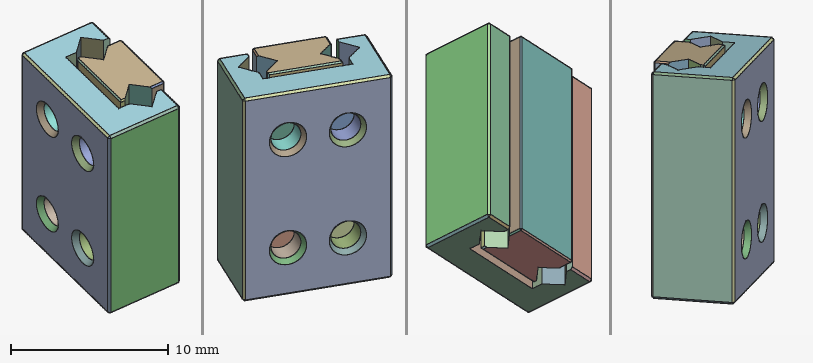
import cadquery as cq
import math

LENGTH = 15.0
RAIL_WIDTH = 10.0
RAIL_HEIGHT = 5.5
RAIL_CHAMFER = 0.15
CHANNEL_WIDTH = 6.0
CHANNEL_FLOOR = 2.1

OVERALL_HEIGHT = 6.0
CARRIAGE_WIDTH = 5.0
CARRIAGE_GAP = 0.5
CARRIAGE_BOTTOM = CHANNEL_FLOOR + CARRIAGE_GAP
CARRIAGE_CHAMFER = 0.1

GROOVE_DEPTH = 1.05
GROOVE_CENTRE = 3.96

HOLE_DIAMETER = 2.0
COUNTERSINK_DIAMETER = 2.49
COUNTERSINK_SLOPE = 30.0
COUNTERSINK_DEPTH = (COUNTERSINK_DIAMETER - HOLE_DIAMETER) / 2 / math.tan(math.radians(COUNTERSINK_SLOPE))
HOLE_DEPTH = 1.8
HOLE_SPACING_X = 4.0
HOLE_SPACING_Z = 8.0


def block(width, y_start, y_end):
    """Full-length block centred on X and Z, between two Y levels."""
    height = y_end - y_start
    return cq.Workplane("XY").box(width, height, LENGTH).translate((0, y_start + height / 2, 0))


def groove_cutters(half_width, apex_reach):
    """Pair of full-length 45-degree triangular prisms.

    Each prism has its base at X = +/-half_width and its apex apex_reach further
    outward; a negative reach points toward the middle.
    """
    half_opening = abs(apex_reach)
    cutters = cq.Workplane("XY")
    for side in (-1, 1):
        prism = (
            cq.Workplane("XY")
            .moveTo(side * half_width, GROOVE_CENTRE - half_opening)
            .lineTo(side * (half_width + apex_reach), GROOVE_CENTRE)
            .lineTo(side * half_width, GROOVE_CENTRE + half_opening)
            .close()
            .extrude(LENGTH / 2, both=True)
        )
        cutters = cutters.add(prism)
    return cutters.combine()


def make_rail():
    rail = block(RAIL_WIDTH, 0, RAIL_HEIGHT).edges().chamfer(RAIL_CHAMFER)

    rail = rail.cut(block(CHANNEL_WIDTH, CHANNEL_FLOOR, RAIL_HEIGHT))

    rail = rail.cut(groove_cutters(CHANNEL_WIDTH / 2, GROOVE_DEPTH))

    underside = rail.faces("<Y").workplane(origin=(0, 0, 0))
    hole_places = underside.rarray(HOLE_SPACING_X, HOLE_SPACING_Z, 2, 2)
    rail = hole_places.hole(HOLE_DIAMETER, HOLE_DEPTH)

    countersinks = hole_places.circle(COUNTERSINK_DIAMETER / 2).extrude(
        -COUNTERSINK_DEPTH, combine=False, taper=COUNTERSINK_SLOPE
    )
    return rail.cut(countersinks)


def make_carriage():
    carriage = block(CARRIAGE_WIDTH, CARRIAGE_BOTTOM, OVERALL_HEIGHT)
    carriage = carriage.cut(groove_cutters(CARRIAGE_WIDTH / 2, -GROOVE_DEPTH))

    upper_corners = carriage.faces(">Y").edges("|Z")
    lower_left_corner = carriage.faces("<Y").edges("|Z").edges("<X")

    end_edges = carriage.faces("|Z").edges("|X or |Y")
    lower_left_lips = carriage.faces("<X").edges("|Y").edges("<Y")

    sharp_edges = lower_left_lips.vals()
    chamfered_edges = upper_corners.vals() + lower_left_corner.vals()
    for edge in end_edges.vals():
        if not any(edge.isSame(sharp) for sharp in sharp_edges):
            chamfered_edges.append(edge)
    return carriage.newObject(chamfered_edges).chamfer(CARRIAGE_CHAMFER)


rail = make_rail()
carriage = make_carriage()

result = cq.Compound.makeCompound([rail.solids().val(), carriage.solids().val()])